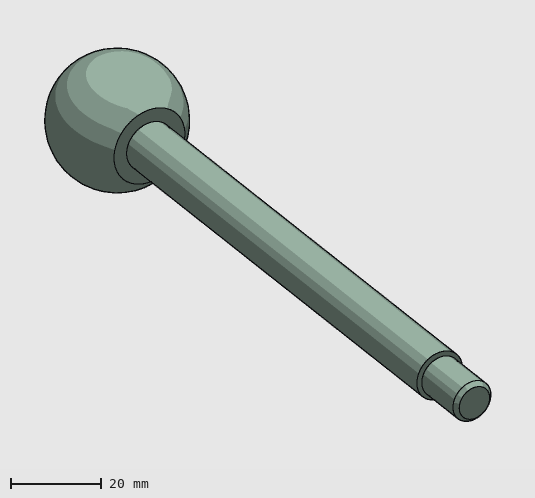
import cadquery as cq
import math

overall_length = 160.0
ball_diameter = 32.0
ball_length = 29.0
rod_diameter = 12.0
spigot_diameter = 10.0
spigot_length = 14.0
spigot_end_chamfer = 1.0
undercut_depth = 0.75
undercut_angle = 30.0

ball_radius = ball_diameter / 2
rod_radius = rod_diameter / 2
spigot_radius = spigot_diameter / 2

pole_x = -ball_radius
flat_x = pole_x + ball_length
tip_x = pole_x + overall_length
shoulder_x = tip_x - spigot_length
undercut_width = undercut_depth * math.tan(math.radians(undercut_angle))

flat_radius = math.sqrt(ball_radius**2 - flat_x**2)


def handle_profile():
    """Half section above the X axis, through ball, rod, undercut and spigot."""
    return (
        cq.Workplane("XZ")
        .moveTo(pole_x, 0)
        .threePointArc((0, ball_radius), (flat_x, flat_radius))
        .lineTo(flat_x, rod_radius)
        .lineTo(shoulder_x, rod_radius)
        .lineTo(shoulder_x, spigot_radius - undercut_depth)
        .lineTo(shoulder_x + undercut_width, spigot_radius)
        .lineTo(tip_x - spigot_end_chamfer, spigot_radius)
        .lineTo(tip_x, spigot_radius - spigot_end_chamfer)
        .lineTo(tip_x, 0)
        .close()
    )


result = handle_profile().revolve(360, (0, 0, 0), (1, 0, 0))